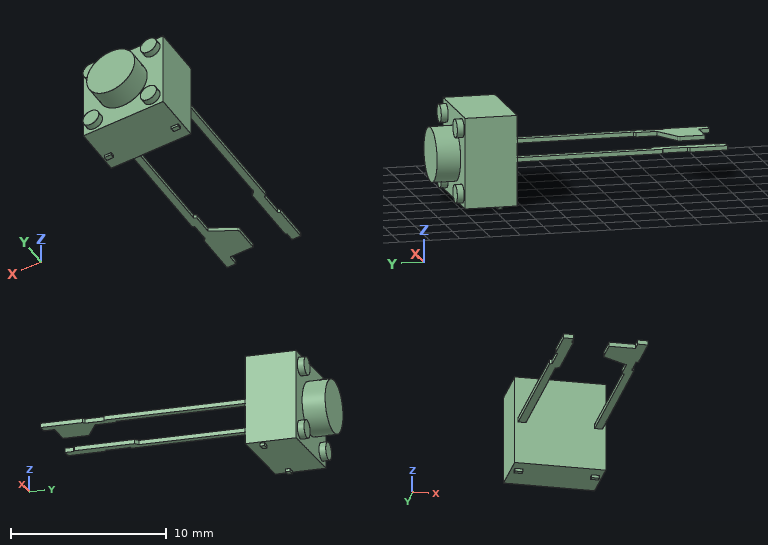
import cadquery as cq

BODY_SIZE = 6.0
BODY_DEPTH = 3.45
BUTTON_DIAMETER = 3.61
BUTTON_HEIGHT = 1.55
PEG_DIAMETER = 1.22
PEG_HEIGHT = 0.45
OVERALL_LENGTH = 19.0
LEAD_LENGTH = OVERALL_LENGTH - BODY_DEPTH - BUTTON_HEIGHT
EDGE_INSET = 0.23
SHEET = 0.3
LEAD_WIDTH = 0.51
NUB_HEIGHT = 0.19
NUB_FROM_BUTTON_FACE = 2.38

HALF = BODY_SIZE / 2
OUTER = HALF - EDGE_INSET
STEM_INNER = OUTER - LEAD_WIDTH
TIP_Y = -LEAD_LENGTH

NOTCH_DEPTH = 0.15
NOTCH_TOP = 4.31
NOTCH_TOP_TAPER = 0.05
NOTCH_BOTTOM_TAPER = 0.11
SHOULDER = 5.0
STRAIGHT_NOTCH_BOTTOM = 2.5
STRAIGHT_INNER = 2.0
STRAIGHT_SHOULDER_DROP = 0.23
STRAIGHT_TIP_INNER = 2.1
STRAIGHT_TIP_LENGTH = 0.59
FLAG_NOTCH_BOTTOM = 2.87
FLAG_NECK_INNER = 2.09
FLAG_SHOULDER_DROP = 0.13
FLAG_EDGE = 0.36
FLAG_SLOPE_TOP = 3.5
FLAG_SLOPE_BOTTOM = 2.49
FLAG_BOTTOM = 0.72
FLAG_CORNER_RADIUS = 0.19


def disc(diameter, height, x=0, z=0):
    """Round boss standing on the button face of the housing."""
    plane = cq.Plane(origin=(x, BODY_DEPTH, z), xDir=(1, 0, 0), normal=(0, 1, 0))
    return cq.Workplane(plane).circle(diameter / 2).extrude(height)


def lead(notch_bottom, inner_edge):
    """Flat lead on the +X side; inner_edge runs from the tip up to the stem."""
    notch_x = OUTER - NOTCH_DEPTH
    outer_edge = [
        (OUTER, NOTCH_TOP),
        (notch_x, NOTCH_TOP - NOTCH_TOP_TAPER),
        (notch_x, notch_bottom + NOTCH_BOTTOM_TAPER),
        (OUTER, notch_bottom),
        (OUTER, 0),
    ]
    stem_top = [(STEM_INNER, LEAD_LENGTH), (OUTER, LEAD_LENGTH)]
    outline = stem_top + outer_edge + inner_edge
    sheet = cq.Workplane("XY").polyline(outline).close().extrude(SHEET / 2, both=True)
    return sheet.translate((0, TIP_Y, 0))


def straight_lead():
    inner_edge = [
        (STRAIGHT_TIP_INNER, 0),
        (STRAIGHT_TIP_INNER, STRAIGHT_TIP_LENGTH),
        (STRAIGHT_INNER, STRAIGHT_TIP_LENGTH + NOTCH_BOTTOM_TAPER),
        (STRAIGHT_INNER, SHOULDER - STRAIGHT_SHOULDER_DROP),
        (STEM_INNER, SHOULDER),
    ]
    return lead(STRAIGHT_NOTCH_BOTTOM, inner_edge).mirror("YZ")


def flag_lead():
    inner_edge = [
        (FLAG_NECK_INNER, 0),
        (FLAG_NECK_INNER, FLAG_BOTTOM),
        (FLAG_EDGE, FLAG_BOTTOM),
        (FLAG_EDGE, FLAG_SLOPE_BOTTOM),
        (FLAG_NECK_INNER, FLAG_SLOPE_TOP),
        (FLAG_NECK_INNER, SHOULDER - FLAG_SHOULDER_DROP),
        (STEM_INNER, SHOULDER),
    ]
    flag = lead(FLAG_NOTCH_BOTTOM, inner_edge)
    corner = cq.selectors.NearestToPointSelector((FLAG_EDGE, TIP_Y + FLAG_SLOPE_BOTTOM, 0))
    return flag.edges("|Z").edges(corner).fillet(FLAG_CORNER_RADIUS)


def nub(side):
    """Short metal stub under the housing; side is -1 or 1 along X."""
    x = side * (OUTER - LEAD_WIDTH / 2)
    y = BODY_DEPTH - NUB_FROM_BUTTON_FACE
    z = -HALF - NUB_HEIGHT / 2
    return cq.Workplane("XY").box(LEAD_WIDTH, SHEET, NUB_HEIGHT).translate((x, y, z))


housing = cq.Workplane("XY").box(BODY_SIZE, BODY_DEPTH, BODY_SIZE)
result = housing.translate((0, BODY_DEPTH / 2, 0))
result = result.union(disc(BUTTON_DIAMETER, BUTTON_HEIGHT))

peg_offset = OUTER - PEG_DIAMETER / 2
for x_side in (-1, 1):
    result = result.union(nub(x_side))
    for z_side in (-1, 1):
        result = result.union(disc(PEG_DIAMETER, PEG_HEIGHT, x_side * peg_offset, z_side * peg_offset))

result = result.union(straight_lead()).union(flag_lead())